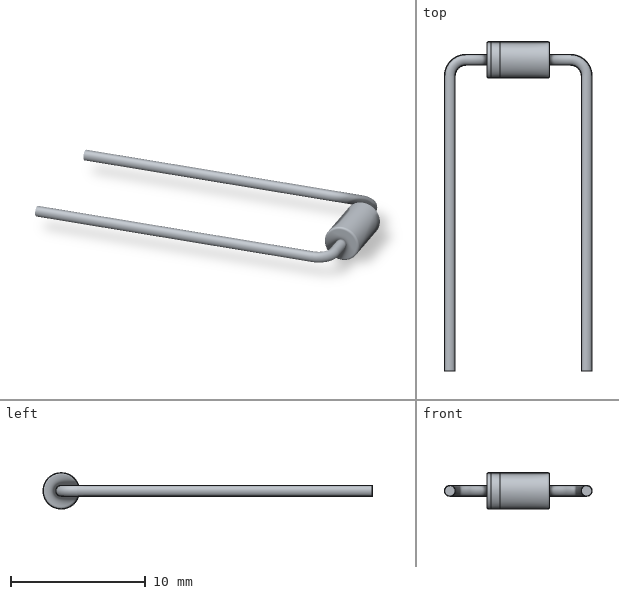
import cadquery as cq

package_diameter = 2.7
package_length = 4.67
edge_fillet = 0.16
cap_length = 0.31
band_length = 0.67

lead_diameter = 0.8
lead_pitch = 10.16
bend_radius = 1.2
lead_reach = 23.11

package_radius = package_diameter / 2
lead_radius = lead_diameter / 2
package_end = package_length / 2
leg_offset = lead_pitch / 2
bend_start = leg_offset - bend_radius
band_start = -package_end + cap_length
main_start = band_start + band_length
main_length = package_end - main_start


def package_section(start, length):
    """Cylinder along +X that begins at the given X position."""
    plane = cq.Workplane("YZ", origin=(start, 0, 0))
    return plane.circle(package_radius).extrude(length)


def make_end_cap():
    return package_section(-package_end, cap_length).faces("<X").edges().fillet(edge_fillet)


def make_polarity_band():
    return package_section(band_start, band_length)


def make_main_package():
    return package_section(main_start, main_length).faces(">X").edges().fillet(edge_fillet)


def make_lead(side):
    """Round lead from the package end face, bent toward -Y; side is -1 or +1 along X."""
    path = (
        cq.Workplane("XY")
        .moveTo(side * package_end, 0)
        .lineTo(side * bend_start, 0)
        .tangentArcPoint((side * leg_offset, -bend_radius), relative=False)
        .lineTo(side * leg_offset, -lead_reach)
    )
    profile = cq.Workplane("YZ", origin=(side * package_end, 0, 0)).circle(lead_radius)
    return profile.sweep(path)


end_cap = make_end_cap()
polarity_band = make_polarity_band()
main_package = make_main_package()
leads = [make_lead(side) for side in (-1, 1)]

result = cq.Compound.makeCompound([
    end_cap.val(),
    polarity_band.val(),
    main_package.val(),
    *[lead.val() for lead in leads],
])